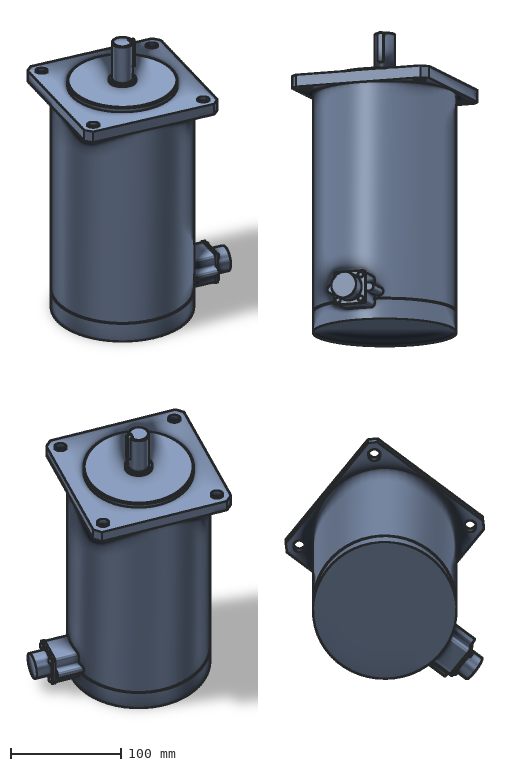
import cadquery as cq

total_height = 275.0
total_depth = 169.5
frame_diameter = 130.0
frame_length = 219.0
groove_bottom = 18.5
groove_width = 0.8
groove_depth = 0.3

flange_side = 133.0
flange_thickness = 11.0
flange_corner_chamfer = 6.0
mount_hole_diameter = 11.0
mount_hole_offset = 55.0

pilot_diameter = 100.0
pilot_height = 5.0
pilot_chamfer = 1.0
collar_diameter = 25.0
collar_height = 2.2
collar_chamfer = 0.8

flange_top = frame_length + flange_thickness
pilot_top = flange_top + pilot_height
frame_radius = frame_diameter / 2

shaft_diameter = 19.0
shaft_chamfer = 0.8
key_width = 5.5
key_length = 27.8
key_floor = 6.5
key_top = 11.3

connector_height = 25.3
plug_diameter = 24.0
plug_length = 14.3
plate_side = 30.0
base_side = 29.7
plate_thickness = 2.5
plate_corner_radius = 2.5
base_corner_radius = 4.0
ear_span = 44.5
ear_radius = 3.8
ear_root_fillet = 1.25
screw_head_diameter = 5.0
screw_head_height = 2.2
screw_head_fillet = 1.0
screw_offset = 11.0

plug_end = total_depth - flange_side / 2
plate_outer = plug_end - plug_length
base_outer = plate_outer - plate_thickness


def rod(diameter, bottom, top):
    """Upright cylinder on the motor axis."""
    return cq.Workplane("XY").workplane(offset=bottom).circle(diameter / 2).extrude(top - bottom)


def make_frame():
    """Round frame with the shallow groove that marks off its rear cap."""
    groove = (
        cq.Workplane("XY")
        .workplane(offset=groove_bottom)
        .circle(frame_radius + groove_depth)
        .circle(frame_radius - groove_depth)
        .extrude(groove_width)
    )
    return rod(frame_diameter, 0, frame_length).cut(groove)


def make_flange():
    """Square mounting flange with cut corners and four through holes."""
    hole_spacing = 2 * mount_hole_offset
    return (
        cq.Workplane("XY")
        .workplane(offset=frame_length)
        .rect(flange_side, flange_side)
        .extrude(flange_thickness)
        .edges("|Z")
        .chamfer(flange_corner_chamfer)
        .faces(">Z")
        .workplane()
        .rect(hole_spacing, hole_spacing, forConstruction=True)
        .vertices()
        .hole(mount_hole_diameter)
    )


def make_shaft():
    """Chamfered shaft with a keyway that runs out through its end."""
    shaft = rod(shaft_diameter, pilot_top, total_height).faces(">Z").chamfer(shaft_chamfer)
    round_end_height = total_height - key_length + key_width / 2
    keyway = (
        cq.Workplane("XZ", origin=(0, key_floor, 0))
        .moveTo(-key_width / 2, total_height)
        .lineTo(-key_width / 2, round_end_height)
        .threePointArc((0, total_height - key_length), (key_width / 2, round_end_height))
        .lineTo(key_width / 2, total_height)
        .close()
        .extrude(-shaft_diameter)
    )
    return shaft.cut(keyway)


def make_key():
    """Parallel key with two round ends, seated on the keyway floor."""
    return (
        cq.Workplane("XZ", origin=(0, key_floor, total_height - key_length / 2))
        .slot2D(key_length, key_width, 90)
        .extrude(key_floor - key_top)
    )


def make_motor():
    """Frame, flange, pilot, collar, shaft and key as one solid."""
    pilot = rod(pilot_diameter, flange_top, pilot_top).faces(">Z").chamfer(pilot_chamfer)
    collar = rod(collar_diameter, pilot_top, pilot_top + collar_height).faces(">Z").chamfer(collar_chamfer)
    return make_frame().union(make_flange()).union(pilot).union(collar).union(make_shaft()).union(make_key())


def connector_plane(distance):
    """Workplane across the connector axis; its normal is -Y, so negative extrusions grow outward."""
    return cq.Workplane("XZ", origin=(0, distance, connector_height))


def make_connector_base():
    """Rounded square base with a round-ended ear on each side, fitted to the frame."""
    block = connector_plane(0).rect(base_side, base_side).extrude(-base_outer)
    block = block.edges("|Y").fillet(base_corner_radius)
    ears = connector_plane(0).slot2D(ear_span, 2 * ear_radius).extrude(-base_outer)
    root_half_width = base_side / 2 + ear_root_fillet
    root_half_height = ear_radius + ear_root_fillet
    ear_roots = cq.selectors.BoxSelector(
        (-root_half_width, 0, connector_height - root_half_height),
        (root_half_width, base_outer, connector_height + root_half_height),
    )
    base = block.union(ears).edges("|Y").edges(ear_roots).fillet(ear_root_fillet)
    return base.cut(rod(frame_diameter, 0, frame_length))


def make_connector():
    """Base, screwed-on plate and cylindrical plug as one solid."""
    plate = connector_plane(base_outer).rect(plate_side, plate_side).extrude(-plate_thickness)
    plate = plate.edges("|Y").fillet(plate_corner_radius)
    plug = connector_plane(plate_outer).circle(plug_diameter / 2).extrude(-plug_length)
    connector = make_connector_base().union(plate).union(plug)
    for side in (-1, 1):
        for level in (-1, 1):
            head = (
                connector_plane(plate_outer)
                .center(side * screw_offset, level * screw_offset)
                .circle(screw_head_diameter / 2)
                .extrude(-screw_head_height)
                .faces(">Y")
                .edges()
                .fillet(screw_head_fillet)
            )
            connector = connector.union(head)
    return connector


motor = make_motor()
connector = make_connector()

result = cq.Compound.makeCompound([motor.val(), connector.val()])